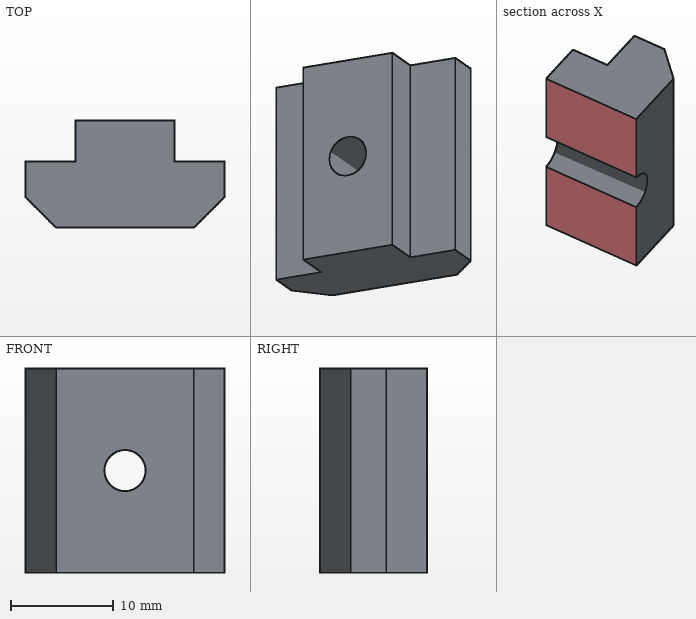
import cadquery as cq

base_width = 19.5
base_depth = 6.5
neck_width = 9.7
neck_depth = 4.0
length = 20.0
bevel = 3.0
hole_diameter = 4.0

total_depth = base_depth + neck_depth


def make_base():
    """Wide part of the nut, bevelled along both front edges."""
    block = cq.Workplane("XY").box(base_width, base_depth, length, centered=(True, False, True))
    return block.faces("<Y").edges("|Z").chamfer(bevel)


def make_neck():
    """Narrow part that rises from the back of the base."""
    block = cq.Workplane("XY").box(neck_width, neck_depth, length, centered=(True, False, True))
    return block.translate((0, base_depth, 0))


def make_hole():
    """Central hole running through base and neck along Y."""
    return cq.Workplane("XZ").circle(hole_diameter / 2).extrude(-total_depth)


result = make_base().union(make_neck()).cut(make_hole())